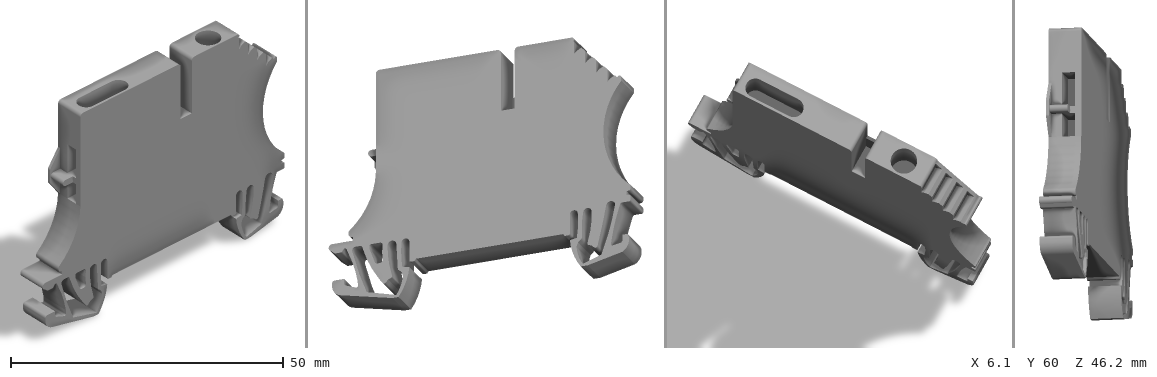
import cadquery as cq
import math

WIDTH = 6.1
HEIGHT = 46.25
HALF_LENGTH = 30.0
SIDE_WALL = 0.6
RAIL_FLOOR = 7.1
FOOT_ROOF = 11.5
RAIL_CENTER = 2.0
FRONT_FACE = -20.65
EDGE_ROUND = 0.7

GROOVE_FRONT = 4.2
GROOVE_BACK = 6.95
GROOVE_FLOOR = 38.75
GROOVE_DEEPER = 4.8

RAMP_SUM = 64.15
LABEL_WALL = 0.7
NOTCH_COUNT = 4
NOTCH_PITCH = 2.2
FIRST_NOTCH = 26.9
NOTCH_OPENING = 1.5
NOTCH_SHELF = 0.9
NOTCH_SHELF_DROP = 0.5

SCREW_X, SCREW_Y, SCREW_DIAMETER = 3.3, 13.55, 4.85
SLOT_X, SLOT_Y, SLOT_WIDTH, SLOT_LENGTH = 3.85, -13.15, 3.65, 11.65
TOP_HOLE_DEPTH = 7.2

MOUTH_LEFT, MOUTH_RIGHT = 2.5, 4.9
MOUTH_BOTTOM, MOUTH_TOP = 25.8, 37.8
MOUTH_DEPTH = 6.0
LIP_BOTTOM, LIP_TOP = 30.1, 31.45
LIP_RIGHT = 4.0
LIP_TIP = -23.05
GUARD_TOP, GUARD_TIP = 36.0, -23.15
GUARD_TIP_BOTTOM, GUARD_TIP_TOP = 29.35, 32.35


def corner(y, z, radius=0.0):
    return ("corner", y, z, radius)


def via(y, z):
    """Point that the curve between the two neighbouring corners passes through."""
    return ("via", y, z, 0.0)


def rounded_ends(before, here, after, radius):
    """Tangent points and mid point of the arc that rounds the corner `here`."""
    to_before = (cq.Vector(*before) - cq.Vector(*here)).normalized()
    to_after = (cq.Vector(*after) - cq.Vector(*here)).normalized()
    half_angle = to_before.getAngle(to_after) / 2
    setback = radius / math.tan(half_angle)
    bisector = (to_before + to_after).normalized()
    to_middle = radius / math.sin(half_angle) - radius
    center = cq.Vector(*here)
    ends = (center + to_before * setback, center + bisector * to_middle, center + to_after * setback)
    return [(p.x, p.y) for p in ends]


def plate(nodes, thickness):
    """Extrude a closed Y-Z outline from the -X face; its first node is a plain corner."""
    pen = cq.Workplane("YZ").moveTo(*nodes[0][1:3])
    bend = None
    closed = nodes + nodes[:1]
    for index in range(1, len(closed)):
        kind, y, z, radius = closed[index]
        if kind == "via":
            bend = (y, z)
        elif bend:
            pen = pen.threePointArc(bend, (y, z))
            bend = None
        elif radius:
            start, middle, end = rounded_ends(closed[index - 1][1:3], (y, z), closed[index + 1][1:3], radius)
            pen = pen.lineTo(*start).threePointArc(middle, end)
        else:
            pen = pen.lineTo(y, z)
    return pen.wire().extrude(thickness)


def box(x_range, y_range, z_range):
    size = [high - low for low, high in (x_range, y_range, z_range)]
    return cq.Workplane("XY").box(*size, centered=False).translate((x_range[0], y_range[0], z_range[0]))


def catch_edge(side):
    """Tip, inner edge, relief slot and rail bump of a foot; side is +1 for the +Y foot."""
    nodes = [
        corner(18.1, 0),
        via(16.75, 2.45),
        corner(15.95, 5.65),
        corner(17.35, 5.9),
        via(17.6, 8.7),
        corner(17.5, 10.8),
        via(16.75, FOOT_ROOF),
        corner(15.95, 10.8),
        corner(15.95, 6.65, 0.35),
        corner(14.95, 6.65, 0.25),
        corner(14.65, RAIL_FLOOR),
    ]
    return [(kind, RAIL_CENTER + side * y, z, radius) for kind, y, z, radius in nodes]


def body_outline():
    back_side = [
        corner(18.35, HEIGHT),
        via(18.65, 46.1),
        corner(18.85, 45.8),
        corner(18.6, RAMP_SUM - 18.6),
        corner(27.35, RAMP_SUM - 27.35),
        corner(27.85, 37.2, 0.25),
        corner(28.15, 36.8),
        corner(28.15, 35.95),
        via(24.6, 26.45),
        corner(29.65, 15.0),
        corner(HALF_LENGTH, 14.75),
        corner(HALF_LENGTH, 13.6, 0.4),
        corner(29.2, 13.6),
        corner(29.2, 12.85),
        corner(HALF_LENGTH, 12.85, 0.4),
        corner(HALF_LENGTH, 11.45, 0.3),
    ]
    back_hook = [
        corner(28.0, 11.45, 0.4),
        corner(27.7, 10.55),
        via(26.8, 7.4),
        corner(26.2, 4.2),
        corner(26.05, 3.1, 0.3),
        corner(28.4, 3.5, 0.55),
        corner(28.4, 5.0),
        corner(29.4, 5.0),
        via(29.5, 2.9),
        corner(28.4, 1.55),
        corner(21.5, 0),
    ]
    front_hook = [
        corner(-17.4, 0),
        corner(-27.6, 2.3),
        via(-28.9, 3.1),
        corner(-29.35, 4.45),
        corner(-29.35, 5.45, 0.55),
        corner(-26.95, 5.45),
        corner(-26.95, 4.2, 0.6),
        corner(-24.2, 3.2, 0.3),
        corner(-24.25, 4.5),
        via(-24.95, 7.5),
        corner(-26.2, 10.75),
        corner(-26.7, 11.95, 0.35),
        corner(-27.4, 10.85, 0.3),
        corner(-28.8, 10.85, 0.35),
        corner(-29.5, 11.45),
        via(-HALF_LENGTH, 12.2),
        corner(-29.3, 12.85),
    ]
    front_side = [
        corner(-25.2, 12.85),
        corner(-25.2, 13.6),
        corner(-25.55, 13.6),
        via(-26.1, 14.3),
        corner(-25.85, 15.0),
        via(-21.9, 20.3),
        corner(FRONT_FACE, MOUTH_BOTTOM),
        corner(FRONT_FACE, HEIGHT, EDGE_ROUND),
    ]
    marker_groove = [
        corner(GROOVE_FRONT, HEIGHT, EDGE_ROUND),
        corner(GROOVE_FRONT, GROOVE_FLOOR),
        corner(GROOVE_BACK, GROOVE_FLOOR),
        corner(GROOVE_BACK, HEIGHT, EDGE_ROUND),
    ]
    catches = catch_edge(1) + catch_edge(-1)[::-1]
    return back_side + back_hook + catches + front_hook + front_side + marker_groove


def back_foot_opening():
    """Space around the stop finger inside the +Y foot."""
    return [
        corner(20.5, 0.5),
        corner(24.2, 1.7, 0.35),
        corner(24.6, 2.8),
        via(26.0, 7.0),
        corner(26.95, 11.4),
        via(26.1, 12.1),
        corner(25.15, 11.35),
        via(24.4, 7.8),
        corner(23.5, 3.95),
        corner(23.3, 2.9, 0.4),
        corner(22.3, 3.8),
        corner(21.35, 4.2, 0.25),
        corner(21.55, 4.9),
        via(22.1, 7.3),
        corner(22.25, 10.8),
        via(21.4, FOOT_ROOF),
        corner(20.6, 10.8),
        via(20.35, 8.5),
        corner(20.35, 6.3),
        corner(20.35, 5.6, 0.9),
        corner(19.55, 4.9),
        corner(19.25, 4.1),
        via(19.7, 2.1),
    ]


def front_foot_opening():
    """Space around the stop finger inside the -Y foot."""
    return [
        corner(-16.55, 0.5),
        via(-15.65, 2.3),
        corner(-15.25, 4.1),
        corner(-15.55, 4.9),
        corner(-16.25, 5.5),
        corner(-16.55, 10.8),
        via(-17.4, FOOT_ROOF),
        corner(-18.3, 10.8),
        via(-18.1, 7.8),
        corner(-17.5, 5.0),
        corner(-17.35, 4.2, 0.25),
        corner(-18.2, 3.85),
        corner(-19.0, 2.95, 0.4),
        corner(-19.9, 4.2),
        via(-21.8, 7.25),
        corner(-23.2, 10.85),
        corner(-23.4, FOOT_ROOF, 0.4),
        corner(-25.55, FOOT_ROOF, 0.65),
        corner(-23.95, 6.0),
        corner(-22.45, 2.05, 0.25),
    ]


def front_foot_window():
    return [
        corner(-20.35, FOOT_ROOF),
        corner(-19.25, FOOT_ROOF, 0.55),
        corner(-19.4, 9.6),
        corner(-19.25, 7.45, 0.55),
        corner(-20.7, 7.45, 0.5),
        corner(-21.9, 10.7),
        corner(-21.9, FOOT_ROOF, 0.35),
    ]


def label_notches():
    """Saw-tooth notches across the ramp, closed by a skin at -X and open at the +X face."""
    notches = cq.Workplane("YZ", origin=(LABEL_WALL, 0, 0))
    for index in range(NOTCH_COUNT):
        y = FIRST_NOTCH - index * NOTCH_PITCH
        z = RAMP_SUM - y
        steep_drop = NOTCH_OPENING - NOTCH_SHELF
        bottom = z - NOTCH_SHELF_DROP - steep_drop
        notches = (
            notches.moveTo(y, z)
            .lineTo(y - NOTCH_SHELF, z - NOTCH_SHELF_DROP)
            .lineTo(y - NOTCH_OPENING, bottom)
            .lineTo(y - NOTCH_OPENING, z + NOTCH_OPENING)
            .close()
        )
    return notches.extrude(WIDTH - LABEL_WALL)


def top_holes():
    top = cq.Workplane("XY").workplane(offset=HEIGHT)
    screw = top.center(SCREW_X, SCREW_Y).circle(SCREW_DIAMETER / 2).extrude(-TOP_HOLE_DEPTH)
    slot = top.center(SLOT_X, SLOT_Y).slot2D(SLOT_LENGTH, SLOT_WIDTH, 90).extrude(-TOP_HOLE_DEPTH)
    return screw.union(slot)


def groove_recess():
    """Deeper part of the marker groove behind the side wall."""
    return box(
        (SIDE_WALL, WIDTH),
        (GROOVE_FRONT, GROOVE_BACK),
        (GROOVE_FLOOR - GROOVE_DEEPER, GROOVE_FLOOR),
    )


def mouth_opening(bottom, top):
    return box((MOUTH_LEFT, MOUTH_RIGHT), (FRONT_FACE, FRONT_FACE + MOUTH_DEPTH), (bottom, top))


def mouth_lip():
    lip_round = (LIP_TOP - LIP_BOTTOM) / 2
    nodes = [
        corner(FRONT_FACE, LIP_TOP),
        corner(LIP_TIP + lip_round, LIP_TOP),
        via(LIP_TIP, LIP_TOP - lip_round),
        corner(LIP_TIP + lip_round, LIP_BOTTOM),
        corner(FRONT_FACE, LIP_BOTTOM),
    ]
    return plate(nodes, LIP_RIGHT)


def mouth_guard():
    nodes = [
        corner(FRONT_FACE, GUARD_TOP),
        corner(GUARD_TIP, GUARD_TIP_TOP, 0.6),
        corner(GUARD_TIP, GUARD_TIP_BOTTOM, 0.6),
        corner(FRONT_FACE, MOUTH_BOTTOM),
    ]
    return plate(nodes, SIDE_WALL)


result = plate(body_outline(), WIDTH)
for opening in (back_foot_opening(), front_foot_opening(), front_foot_window()):
    result = result.cut(plate(opening, WIDTH))
result = result.cut(label_notches()).cut(top_holes()).cut(groove_recess())
result = result.cut(mouth_opening(MOUTH_BOTTOM, LIP_BOTTOM)).cut(mouth_opening(LIP_TOP, MOUTH_TOP))
result = result.union(mouth_lip()).union(mouth_guard())